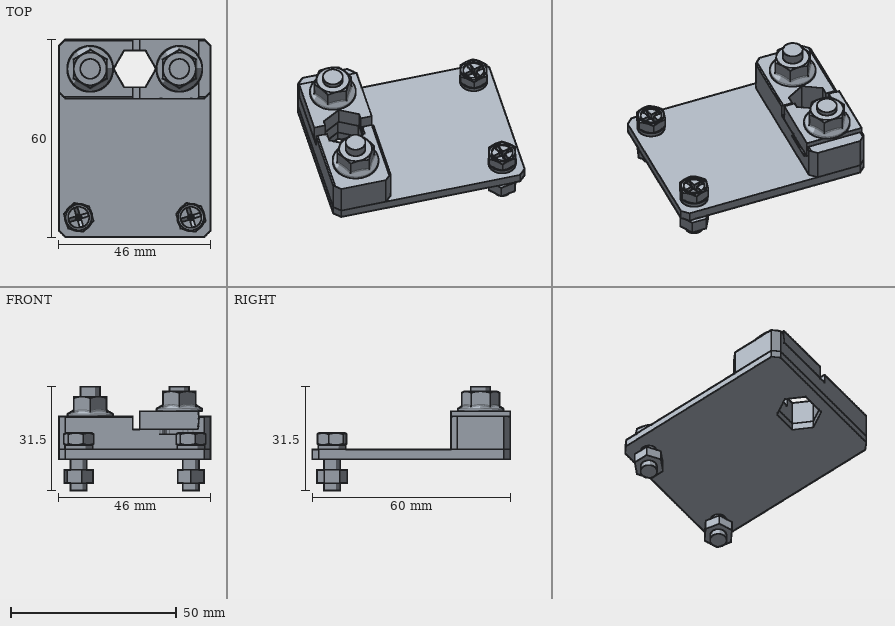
import cadquery as cq
import math

PLATE_WIDTH = 46.0
PLATE_LENGTH = 60.0
PLATE_THICKNESS = 3.0
CORNER_CHAMFER = 2.0

BLOCK_DEPTH = 18.0
BLOCK_TOP = 13.0
BLOCK_Y = (PLATE_LENGTH - BLOCK_DEPTH) / 2
BLOCK_FRONT = BLOCK_Y - BLOCK_DEPTH / 2
EDGE_CHAMFER_HEIGHT = 0.2
EDGE_CHAMFER_DEPTH = 0.55
SEAT_Z = 9.1
SEAT_LEFT = -0.6

POCKET_CENTRE_X = 12.5
POCKET_MOUTH_WIDTH = 10.0
POCKET_ROUND = 1.5
POCKET_HEIGHT = 1.5

OPENING_FLATS = 11.1
OPENING_CLEARANCE = 1.1

CLAMP_THICKNESS = 5.5
CLAMP_TOP = SEAT_Z + CLAMP_THICKNESS
CLAMP_LEFT = 1.5
CLAMP_RIGHT = 19.4
CLAMP_END_RADIUS = 28.0
CLAMP_END_Z = BLOCK_TOP

STUD_X = 13.5
STUD_DIAMETER = 6.0
STUD_TOP = 22.0
FLANGE_NUT_FLATS = 10.0
FLANGE_NUT_FACE = 9.9
FLANGE_NUT_HEIGHT = 6.0
FLANGE_RADIUS = 7.0
FLANGE_RIM_RADIUS = 0.5
FLANGE_RIM_Z = 0.4
FLANGE_FILLET = 0.4

SCREW_X = 17.0
SCREW_Y = 6.0 - PLATE_LENGTH / 2
SCREW_DIAMETER = 5.0
SCREW_END_Z = -9.5
SCREW_TURN = 13.0
COLLAR_DIAMETER = 8.4
COLLAR_HEIGHT = 1.3
HEAD_FLATS = 8.0
HEAD_FACE = 7.8
HEAD_TOP = PLATE_THICKNESS + 5.0
HEAD_DISH_DIAMETER = 6.4
HEAD_DISH_DEPTH = 0.6
CROSS_ARM_WIDTH = 1.1
CROSS_ARM_REACH = 3.0
CROSS_FLANK_RADIUS = 0.9
CROSS_FLANK_DEPTH = 2.3
CROSS_TIP_DEPTH = 2.8
CROSS_TURN = 30.0
NUT_FLATS = 8.0
NUT_HEIGHT = 4.0
NUT_TOP = -3.2
LEFT_NUT_TURN = -18.0
RIGHT_NUT_TURN = 30.0

CONE_SLOPE = math.tan(math.radians(30))


def corner_diameter(flats):
    return flats / math.cos(math.radians(30))


def cylinder(diameter, bottom, top):
    return cq.Workplane("XY").workplane(offset=bottom).circle(diameter / 2).extrude(top - bottom)


def hexagon(flats, bottom, top, turn):
    """Hexagonal prism about Z with one corner at the angle `turn` from +X."""
    base = cq.Workplane("XY").workplane(offset=bottom)
    prism = base.polygon(6, corner_diameter(flats)).extrude(top - bottom)
    return prism.rotate((0, 0, 0), (0, 0, 1), turn)


def bevel_cone(flats, face_diameter, bottom, top, bevel_bottom):
    """Turned blank that bevels the corners of a hexagon at its top and optionally its bottom."""
    inner = face_diameter / 2
    outer = corner_diameter(flats) / 2
    drop = (outer - inner) * CONE_SLOPE
    if bevel_bottom:
        lower = [(inner, bottom), (outer, bottom + drop)]
    else:
        lower = [(outer, bottom)]
    points = [(0, bottom)] + lower + [(outer, top - drop), (inner, top), (0, top)]
    return cq.Workplane("XZ").polyline(points).close().revolve(360, (0, 0, 0), (0, 1, 0))


def make_opening(clearance):
    """Hexagonal cutter whose right half is moved out along +X by the clearance."""
    side_half = OPENING_FLATS / 2 * math.tan(math.radians(30))
    tip = corner_diameter(OPENING_FLATS) / 2
    half_flats = OPENING_FLATS / 2
    points = [
        (-tip, 0),
        (-side_half, -half_flats),
        (side_half + clearance, -half_flats),
        (tip + clearance, 0),
        (side_half + clearance, half_flats),
        (-side_half, half_flats),
    ]
    return cq.Workplane("XY", origin=(0, BLOCK_Y, 0)).polyline(points).close().extrude(CLAMP_TOP)


def make_plate():
    plate = cq.Workplane("XY").box(PLATE_WIDTH, PLATE_LENGTH, PLATE_THICKNESS, centered=(True, True, False))
    plate = plate.edges("|Z").chamfer(CORNER_CHAMFER).cut(make_opening(OPENING_CLEARANCE))
    for x in (-SCREW_X, SCREW_X):
        plate = plate.cut(cylinder(SCREW_DIAMETER, 0, PLATE_THICKNESS).translate((x, SCREW_Y, 0)))
    return plate


def clamp_section(left, top):
    """XZ outline above the seat, ending in an arc whose widest point is at CLAMP_END_Z."""

    def end_x(z):
        return CLAMP_RIGHT - CLAMP_END_RADIUS + math.sqrt(CLAMP_END_RADIUS**2 - (z - CLAMP_END_Z) ** 2)

    middle = (SEAT_Z + top) / 2
    return (
        cq.Workplane("XZ", origin=(0, BLOCK_Y + BLOCK_DEPTH / 2, 0))
        .moveTo(left, SEAT_Z)
        .lineTo(end_x(SEAT_Z), SEAT_Z)
        .threePointArc((end_x(middle), middle), (end_x(top), top))
        .lineTo(left, top)
        .close()
        .extrude(BLOCK_DEPTH)
    )


def make_pocket():
    """Recess whose side walls curve in from the block front and out again to a flat back."""
    mouth = POCKET_MOUTH_WIDTH / 2
    neck = mouth - POCKET_ROUND
    back = neck - POCKET_ROUND
    bend = POCKET_ROUND * math.sin(math.radians(45))
    depth = 2 * POCKET_ROUND
    return (
        cq.Workplane("XY", origin=(POCKET_CENTRE_X, BLOCK_FRONT, SEAT_Z - POCKET_HEIGHT))
        .moveTo(-mouth, 0)
        .threePointArc((-mouth + bend, POCKET_ROUND - bend), (-neck, POCKET_ROUND))
        .threePointArc((-back - bend, POCKET_ROUND + bend), (-back, depth))
        .lineTo(back, depth)
        .threePointArc((back + bend, POCKET_ROUND + bend), (neck, POCKET_ROUND))
        .threePointArc((mouth - bend, POCKET_ROUND - bend), (mouth, 0))
        .close()
        .extrude(POCKET_HEIGHT)
    )


def make_block():
    half_depth = BLOCK_DEPTH / 2
    profile = [
        (BLOCK_Y - half_depth, PLATE_THICKNESS),
        (BLOCK_Y + half_depth, PLATE_THICKNESS),
        (BLOCK_Y + half_depth, BLOCK_TOP - EDGE_CHAMFER_HEIGHT),
        (BLOCK_Y + half_depth - EDGE_CHAMFER_DEPTH, BLOCK_TOP),
        (BLOCK_Y - half_depth + EDGE_CHAMFER_DEPTH, BLOCK_TOP),
        (BLOCK_Y - half_depth, BLOCK_TOP - EDGE_CHAMFER_HEIGHT),
    ]
    bar = cq.Workplane("YZ").polyline(profile).close().extrude(PLATE_WIDTH / 2, both=True)
    outline = (
        cq.Workplane("XY", origin=(0, BLOCK_Y, 0))
        .rect(PLATE_WIDTH, BLOCK_DEPTH)
        .extrude(BLOCK_TOP)
        .edges("|Z")
        .chamfer(CORNER_CHAMFER)
    )
    block = bar.intersect(outline).cut(clamp_section(SEAT_LEFT, BLOCK_TOP))
    block = block.cut(make_pocket()).cut(make_opening(OPENING_CLEARANCE))
    for x in (-STUD_X, STUD_X):
        block = block.union(cylinder(STUD_DIAMETER, PLATE_THICKNESS, STUD_TOP).translate((x, BLOCK_Y, 0)))
    return block


def make_clamp():
    stud_hole = cylinder(STUD_DIAMETER, SEAT_Z, CLAMP_TOP).translate((STUD_X, BLOCK_Y, 0))
    return clamp_section(CLAMP_LEFT, CLAMP_TOP).cut(make_opening(0)).cut(stud_hole)


def make_flange_nut():
    """Nut with its bearing face at Z = 0 and two flats facing along X."""
    rim_centre = FLANGE_RADIUS - FLANGE_RIM_RADIUS
    foot = rim_centre + math.sqrt(FLANGE_RIM_RADIUS**2 - FLANGE_RIM_Z**2)
    rim_top_x = rim_centre + FLANGE_RIM_RADIUS * math.sin(math.radians(30))
    rim_top_z = FLANGE_RIM_Z + FLANGE_RIM_RADIUS * math.cos(math.radians(30))
    bore = STUD_DIAMETER / 2

    def cone_z(radius):
        return rim_top_z + (rim_top_x - radius) * CONE_SLOPE

    flange = (
        cq.Workplane("XZ")
        .moveTo(0, 0)
        .lineTo(foot, 0)
        .threePointArc((FLANGE_RADIUS, FLANGE_RIM_Z), (rim_top_x, rim_top_z))
        .lineTo(bore, cone_z(bore))
        .lineTo(0, cone_z(bore))
        .close()
        .revolve(360, (0, 0, 0), (0, 1, 0))
    )
    body = hexagon(FLANGE_NUT_FLATS, 0, FLANGE_NUT_HEIGHT, 30)
    body = body.intersect(bevel_cone(FLANGE_NUT_FLATS, FLANGE_NUT_FACE, 0, FLANGE_NUT_HEIGHT, False))

    root_low = (-FLANGE_RADIUS, -FLANGE_RADIUS, cone_z(corner_diameter(FLANGE_NUT_FLATS) / 2))
    root_high = (FLANGE_RADIUS, FLANGE_RADIUS, FLANGE_NUT_HEIGHT / 2)
    root = cq.selectors.BoxSelector(root_low, root_high)
    nut = flange.union(body).edges(root).fillet(FLANGE_FILLET)
    return nut.cut(cylinder(STUD_DIAMETER, 0, FLANGE_NUT_HEIGHT))


def make_cross_recess():
    """Four arms that slope down from the dished head top to a shallow central point."""
    top = HEAD_TOP - HEAD_DISH_DEPTH
    half_profile = [(CROSS_ARM_REACH, top), (CROSS_FLANK_RADIUS, top - CROSS_FLANK_DEPTH)]
    mirrored = [(-x, z) for x, z in reversed(half_profile)]
    points = half_profile + [(0, top - CROSS_TIP_DEPTH)] + mirrored
    slot = cq.Workplane("XZ").polyline(points).close().extrude(CROSS_ARM_WIDTH / 2, both=True)
    return slot.union(slot.rotate((0, 0, 0), (0, 0, 1), 90))


def make_screw():
    collar_top = PLATE_THICKNESS + COLLAR_HEIGHT
    head = hexagon(HEAD_FLATS, collar_top, HEAD_TOP, 0)
    head = head.intersect(bevel_cone(HEAD_FLATS, HEAD_FACE, collar_top, HEAD_TOP, True))
    head = head.cut(cylinder(HEAD_DISH_DIAMETER, HEAD_TOP - HEAD_DISH_DEPTH, HEAD_TOP))
    head = head.cut(make_cross_recess().rotate((0, 0, 0), (0, 0, 1), CROSS_TURN))
    collar = cylinder(COLLAR_DIAMETER, PLATE_THICKNESS, collar_top)
    shank = cylinder(SCREW_DIAMETER, SCREW_END_Z, PLATE_THICKNESS)
    return shank.union(collar).union(head).rotate((0, 0, 0), (0, 0, 1), -SCREW_TURN)


def make_hex_nut(turn):
    bottom = NUT_TOP - NUT_HEIGHT
    return hexagon(NUT_FLATS, bottom, NUT_TOP, turn).cut(cylinder(SCREW_DIAMETER, bottom, NUT_TOP))


plate = make_plate()
block = make_block()
clamp = make_clamp()

flange_nuts = []
for x, seat in ((-STUD_X, BLOCK_TOP), (STUD_X, CLAMP_TOP)):
    flange_nuts.append(make_flange_nut().translate((x, BLOCK_Y, seat)).val())

screws = []
hex_nuts = []
for x, nut_turn in ((-SCREW_X, LEFT_NUT_TURN), (SCREW_X, RIGHT_NUT_TURN)):
    screws.append(make_screw().translate((x, SCREW_Y, 0)).val())
    hex_nuts.append(make_hex_nut(nut_turn).translate((x, SCREW_Y, 0)).val())

result = cq.Compound.makeCompound(
    [plate.val(), block.val(), clamp.val(), *flange_nuts, *screws, *hex_nuts]
)